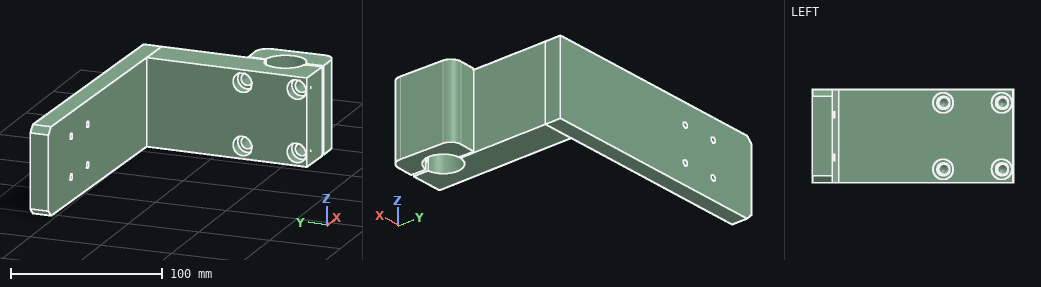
import cadquery as cq
import math

height = 61.7
overall_length = 215.0
post_diameter = 28.0
bracket_tilt = -1.55

bracket_right = -0.9
plate_thickness = 13.1
plate_corner_chamfer = 4.5
arm_width = 26.2
arm_length = 114.6
arm_end = -26.7
plate_front = arm_end + arm_length

mount_hole_diameter = 4.0
mount_hole_spacing = 28.2
mount_hole_setback = 39.0

cap_left = 1.0
cap_right = 23.0
cap_length = 53.3
cap_corner_radius = 8.5

screw_spacing_y = 38.7
screw_spacing_z = 43.9
screw_clearance_diameter = 8.4
screw_head_diameter = 13.3
screw_head_depth = 8.0
tapped_diameter = 6.9
tapped_depth = 15.0
drill_point_angle = 118


def block(x_min, x_max, y_min, y_max):
    """Full-height block centred on Z = 0."""
    return (
        cq.Workplane("XY")
        .box(x_max - x_min, y_max - y_min, height, centered=(False, False, True))
        .translate((x_min, y_min, 0))
    )


def post_bore():
    return cq.Workplane("XY").circle(post_diameter / 2).extrude(height, both=True)


def screw_cylinders(diameter, x_start, length):
    """Four cylinders along +X at the clamp screw positions."""
    return (
        cq.Workplane("YZ", origin=(x_start, 0, 0))
        .rarray(screw_spacing_y, screw_spacing_z, 2, 2)
        .circle(diameter / 2)
        .extrude(length)
    )


def tilt(body):
    return body.rotate((0, 0, 0), (0, 0, 1), bracket_tilt)


def make_plate():
    tilt_angle = math.radians(-bracket_tilt)
    leftmost = cap_right - overall_length
    plate_left = (leftmost - plate_front * math.sin(tilt_angle)) / math.cos(tilt_angle)
    plate = block(plate_left, bracket_right, plate_front, plate_front + plate_thickness)
    plate = plate.edges("|Y and <X").chamfer(plate_corner_chamfer)
    holes_center_x = plate_left + mount_hole_setback + mount_hole_spacing / 2
    holes = (
        cq.Workplane("XZ", origin=(holes_center_x, plate_front + plate_thickness, 0))
        .rarray(mount_hole_spacing, mount_hole_spacing, 2, 2)
        .circle(mount_hole_diameter / 2)
        .extrude(plate_thickness)
    )
    return tilt(plate.cut(holes))


def make_arm():
    arm_left = bracket_right - arm_width
    arm = block(arm_left, bracket_right, arm_end, plate_front)
    arm = arm.cut(screw_cylinders(screw_clearance_diameter, arm_left, arm_width))
    arm = arm.cut(screw_cylinders(screw_head_diameter, arm_left, screw_head_depth))
    return tilt(arm).cut(post_bore())


def tapped_hole(y, z):
    """Blind hole into the cap, ending in a conical drill point."""
    radius = tapped_diameter / 2
    point_length = radius / math.tan(math.radians(drill_point_angle / 2))
    return (
        cq.Workplane("XY")
        .moveTo(0, 0)
        .lineTo(tapped_depth + point_length, 0)
        .lineTo(tapped_depth, radius)
        .lineTo(0, radius)
        .close()
        .revolve(360, (0, 0, 0), (1, 0, 0))
        .translate((cap_left, y, z))
    )


def make_cap():
    cap = block(cap_left, cap_right, -cap_length / 2, cap_length / 2)
    cap = cap.edges("|Z and >X").fillet(cap_corner_radius)
    cap = cap.cut(post_bore())
    for y in (-screw_spacing_y / 2, screw_spacing_y / 2):
        for z in (-screw_spacing_z / 2, screw_spacing_z / 2):
            cap = cap.cut(tapped_hole(y, z))
    return cap


plate = make_plate()
arm = make_arm()
cap = make_cap()

result = cq.Compound.makeCompound([plate.val(), arm.val(), cap.val()])